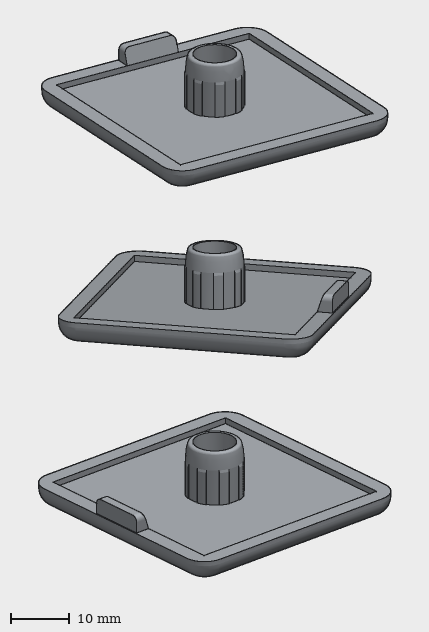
import cadquery as cq

plate_side = 45.0
plate_height = 4.0
corner_radius = 4.0
bottom_rounding = 3.1

recess_side = 39.15
recess_depth = 1.1
floor_z = plate_height - recess_depth

post_radius = 5.05
bore_radius = 3.75
post_top_z = 12.5
taper_start_z = 9.35
taper_end_radius = 4.55
lip_rounding = 0.5

rib_count = 8
rib_outer_radius = 5.18
rib_angle = 20.0
rib_chamfer_height = 0.45

tab_width = 10.4
tab_top_z = 7.0
tab_setback = 0.22
tab_top_thickness = 1.7
tab_corner_radius = 1.1


def make_plate():
    """Rounded plate with a square recess sunk into its top face."""
    plate = (
        cq.Workplane("XY")
        .rect(plate_side, plate_side)
        .extrude(plate_height)
        .edges("|Z")
        .fillet(corner_radius)
        .faces("<Z")
        .edges()
        .fillet(bottom_rounding)
    )
    recess = (
        cq.Workplane("XY")
        .workplane(offset=floor_z)
        .rect(recess_side, recess_side)
        .extrude(recess_depth)
    )
    return plate.cut(recess)


def make_post():
    """Tube whose upper wall curves inward from the vertical to a rounded lip."""
    post = (
        cq.Workplane("XZ")
        .moveTo(0, floor_z)
        .lineTo(post_radius, floor_z)
        .lineTo(post_radius, taper_start_z)
        .tangentArcPoint((taper_end_radius, post_top_z), relative=False)
        .lineTo(0, post_top_z)
        .close()
        .revolve()
        .faces(">Z")
        .edges()
        .fillet(lip_rounding)
    )
    bore = (
        cq.Workplane("XY")
        .workplane(offset=floor_z)
        .circle(bore_radius)
        .extrude(post_top_z - floor_z)
    )
    return post.cut(bore)


def make_rib(direction):
    """Rib facing the given angle in degrees, sloping back to the post at its top."""
    wall_mid_radius = (bore_radius + post_radius) / 2
    return (
        cq.Workplane("XZ")
        .moveTo(wall_mid_radius, floor_z)
        .lineTo(rib_outer_radius, floor_z)
        .lineTo(rib_outer_radius, taper_start_z - rib_chamfer_height)
        .lineTo(post_radius, taper_start_z)
        .lineTo(wall_mid_radius, taper_start_z)
        .close()
        .revolve(rib_angle, (0, 0, 0), (0, 1, 0))
        .rotate((0, 0, 0), (0, 0, 1), direction - rib_angle / 2)
    )


def make_tab():
    """Tab with an upright outer face and an inner face sloping to the recess edge."""
    outer_x = -plate_side / 2 + tab_setback
    recess_edge_x = -recess_side / 2
    return (
        cq.Workplane("XZ")
        .moveTo(outer_x, floor_z)
        .lineTo(recess_edge_x, floor_z)
        .lineTo(recess_edge_x, plate_height)
        .lineTo(outer_x + tab_top_thickness, tab_top_z)
        .lineTo(outer_x, tab_top_z)
        .close()
        .extrude(tab_width / 2, both=True)
        .faces(">Z")
        .edges("|X")
        .fillet(tab_corner_radius)
    )


result = make_plate().union(make_post()).union(make_tab())

rib_pitch = 360 / rib_count
for index in range(rib_count):
    result = result.union(make_rib((index + 0.5) * rib_pitch))